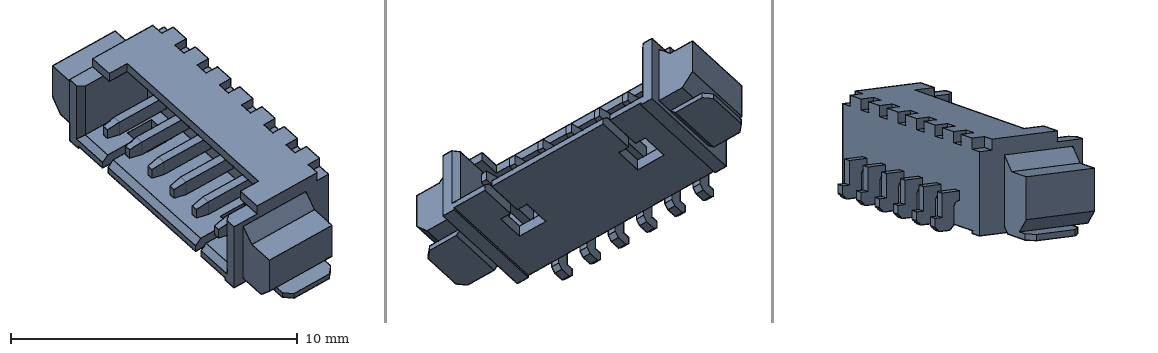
import cadquery as cq
import math


body_width = 9.26
body_depth = 4.2
body_height = 3.4
lid_thickness = 0.39
lid_bottom = body_height - lid_thickness
lid_front = 1.02
lid_cutout_front = 1.82
lid_cutout_width = 7.39
standoff = 0.1
foot_inner_span = 8.27

cavity_width = 8.07
cavity_depth = 3.0
floor_top = 0.61
mouth_chamfer_side = 0.2
mouth_chamfer_floor = 0.23
mouth_chamfer_depth = 0.23

pin_count = 6
pin_pitch = 1.25
pin_positions = [(i - (pin_count - 1) / 2) * pin_pitch for i in range(pin_count)]
pin_width = 0.32
pin_bottom = 1.02
pin_top = 1.65
pin_tip_y = 0.4
pin_taper_y = 0.91
tip_inset = 0.1
tip_width = 0.23
pin_root_y = body_depth - 0.5

tail_top = 1.37
tail_inner_reach = 0.23
tail_outer_reach = 0.72
tail_foot_reach = 1.0
tail_foot_height = 0.49
tail_chamfer = 0.18
tail_bend_radius = 0.2

notch_size = 0.5

slot_width = 0.3
opening_center_x = 2.62
window_front = 1.44
window_back = 2.5
window_width = 1.16

wing_front = 0.4
wing_back = 3.19
wing_outer_x = 6.11
wing_ledge_x = 5.12
wing_ledge_z = 2.28
wing_top = 2.78
wing_bevel_z = 0.75
wing_bottom_x = 5.65
tab_thickness = 0.23
tab_front = 1.04
tab_back = wing_back
tab_outer_x = 6.32
tab_corner = 0.29


def box(x_min, x_max, y_min, y_max, z_min, z_max):
    """Axis-aligned block between the given limits."""
    size = (x_max - x_min, y_max - y_min, z_max - z_min)
    return cq.Workplane("XY").box(*size, centered=False).translate((x_min, y_min, z_min))


def wide_box(width, y_min, y_max, z_min, z_max):
    """Block centred on X = 0."""
    return box(-width / 2, width / 2, y_min, y_max, z_min, z_max)


def both_ends(shape):
    """The shape together with its mirror image across X = 0."""
    return shape.union(shape.mirror("YZ"))


def mouth_flare():
    """Tapered cut that chamfers the side walls and floor at the cavity mouth.

    Its upper edge lies above the lid underside, in the region the lid step clears away.
    """
    inner_height = body_height - floor_top
    outer_width = cavity_width + 2 * mouth_chamfer_side
    outer_height = inner_height + 2 * mouth_chamfer_floor
    return (
        cq.Workplane("XZ", origin=(0, 0, floor_top + inner_height / 2))
        .rect(outer_width, outer_height)
        .workplane(offset=-mouth_chamfer_depth)
        .rect(cavity_width, inner_height)
        .loft(ruled=True)
    )


def housing():
    """Shroud with its open mouth, stepped lid and raised underside."""
    shell = wide_box(body_width, 0, body_depth, 0, body_height)
    shell = shell.cut(wide_box(foot_inner_span, 0, body_depth, 0, standoff))
    shell = shell.cut(wide_box(cavity_width, 0, cavity_depth, floor_top, lid_bottom))
    shell = shell.cut(mouth_flare())
    shell = shell.cut(wide_box(body_width, 0, lid_front, lid_bottom, body_height))
    return shell.cut(wide_box(lid_cutout_width, 0, lid_cutout_front, lid_bottom, body_height))


def back_notches():
    """Square notches in the rear lid edge: one above each pin and one at each corner."""
    corner = (body_width - notch_size) / 2
    notches = cq.Workplane("XY")
    for x in [-corner, *pin_positions, corner]:
        notch = wide_box(notch_size, body_depth - notch_size, body_depth, lid_bottom, body_height)
        notches = notches.union(notch.translate((x, 0, 0)))
    return notches


def floor_openings():
    """At each end, a window beneath the outer two pins and a slot joining it to the mouth."""
    window = wide_box(window_width, window_front, window_back, 0, floor_top)
    slot = wide_box(slot_width, 0, window_front, 0, floor_top)
    return both_ends(window.union(slot).translate((opening_center_x, 0, 0)))


def wing():
    """Side block of the +X end, sloping up to the housing and bevelled underneath."""
    wall_x = body_width / 2
    return (
        cq.Workplane("XZ", origin=(0, wing_front, 0))
        .moveTo(wall_x, tab_thickness)
        .lineTo(wing_bottom_x, tab_thickness)
        .lineTo(wing_outer_x, wing_bevel_z)
        .lineTo(wing_outer_x, wing_ledge_z)
        .lineTo(wing_ledge_x, wing_ledge_z)
        .lineTo(wall_x, wing_top)
        .close()
        .extrude(wing_front - wing_back)
    )


def solder_tab():
    """Flat tab under the +X wing, with cut outer corners and a bevelled inner end."""
    plate = box(body_width / 2, tab_outer_x, tab_front, tab_back, 0, tab_thickness)
    plate = plate.edges("|Z and >X").chamfer(tab_corner)
    bevel = (
        cq.Workplane("XZ", origin=(body_width / 2, tab_front, 0))
        .polyline([(0, 0), (tab_thickness, 0), (0, tab_thickness)])
        .close()
        .extrude(tab_front - tab_back)
    )
    return plate.cut(bevel)


def pin_blade():
    """Contact blade at X = 0, narrowing on all four sides towards its tip."""
    height = pin_top - pin_bottom
    shank = wide_box(pin_width, pin_taper_y, pin_root_y, pin_bottom, pin_top)
    tip = (
        cq.Workplane("XZ", origin=(0, pin_tip_y, (pin_bottom + pin_top) / 2))
        .rect(tip_width, height - 2 * tip_inset)
        .workplane(offset=pin_tip_y - pin_taper_y)
        .rect(pin_width, height)
        .loft(ruled=True)
    )
    return shank.union(tip)


def pin_tail():
    """Solder tail at X = 0: out of the back wall, down, then outwards as a foot."""
    inner = body_depth + tail_inner_reach
    outer = body_depth + tail_outer_reach
    toe = body_depth + tail_foot_reach
    bend_y = inner - tail_bend_radius
    bend_z = pin_bottom - tail_bend_radius
    bend_middle = tail_bend_radius * math.sqrt(0.5)
    return (
        cq.Workplane("YZ", origin=(-pin_width / 2, 0, 0))
        .moveTo(pin_root_y, pin_bottom)
        .lineTo(pin_root_y, tail_top)
        .lineTo(outer, tail_top)
        .lineTo(outer, tail_foot_height)
        .lineTo(toe, tail_foot_height)
        .lineTo(toe, tail_chamfer)
        .lineTo(toe - tail_chamfer, 0)
        .lineTo(inner + tail_chamfer, 0)
        .lineTo(inner, tail_chamfer)
        .lineTo(inner, bend_z)
        .threePointArc((bend_y + bend_middle, bend_z + bend_middle), (bend_y, pin_bottom))
        .close()
        .extrude(pin_width)
    )


result = housing().cut(back_notches()).cut(floor_openings())
result = result.union(both_ends(wing())).union(both_ends(solder_tab()))
pin = pin_blade().union(pin_tail())
for pin_x in pin_positions:
    result = result.union(pin.translate((pin_x, 0, 0)))